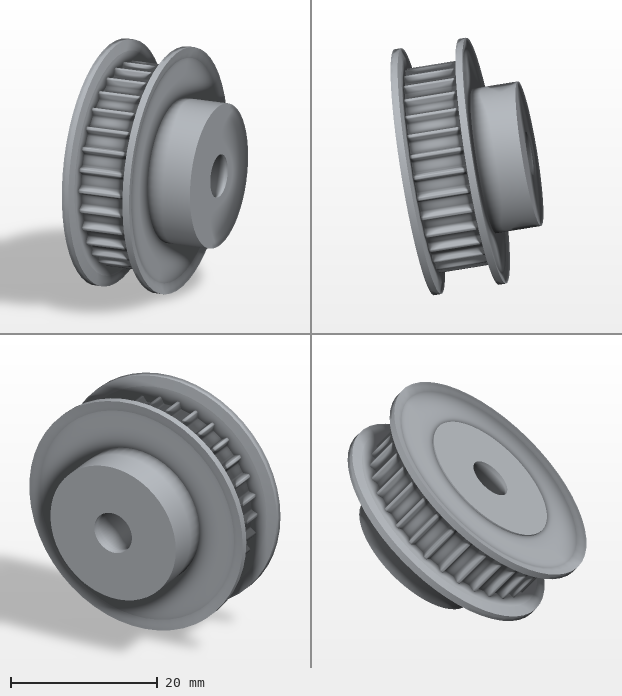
import cadquery as cq
import math


total_length = 16.0
flanged_length = 10.0
flange_thickness = 1.0
dish_depth = 0.262

flange_radius = 17
web_radius = 15.5
hub_radius = 10.0
bore_radius = 3.0

tooth_count = 30
tip_radius = 14.1
root_radius = 13.12
tip_half_width = 0.22
flank_angle = 20
tip_fillet = 0.2
root_fillet = 0.27

belt_start = dish_depth + flange_thickness
belt_length = flanged_length - 2 * belt_start
tooth_pitch = 360 / tooth_count


def cylinder(radius, start, end):
    return cq.Workplane("YZ", origin=(start, 0, 0)).circle(radius).extrude(end - start)


def flange(rim_x, inboard):
    """Dished disc whose rim starts at rim_x; inboard is +1 or -1, the way along X to the teeth."""
    web_x = rim_x + inboard * dish_depth
    outline = [
        (web_x, 0),
        (web_x, web_radius),
        (rim_x, flange_radius),
        (rim_x + inboard * flange_thickness, flange_radius),
        (web_x + inboard * flange_thickness, web_radius),
        (web_x + inboard * flange_thickness, 0),
    ]
    return cq.Workplane("XY").polyline(outline).close().revolve(360, (0, 0, 0), (1, 0, 0))


def polar(radius, angle):
    """Point in the YZ plane at an angle in degrees, measured from +Y towards +Z."""
    return (radius * math.cos(math.radians(angle)), radius * math.sin(math.radians(angle)))


def half_angle(radius, half_width):
    """Angle in degrees that a sideways distance takes up on a circle about the axis."""
    return math.degrees(math.asin(half_width / radius))


def axis_distance(edge):
    """Distance of an edge parallel to X from the axis."""
    return math.hypot(edge.Center().y, edge.Center().z)


def toothed_rim():
    """Trapezoidal teeth with rounded tips and roots; one tooth points along -Y."""
    root_half_width = tip_half_width + (tip_radius - root_radius) * math.tan(math.radians(flank_angle))
    tip_half_angle = half_angle(tip_radius, tip_half_width)
    root_half_angle = half_angle(root_radius, root_half_width)

    outline = cq.Workplane("YZ", origin=(belt_start, 0, 0)).moveTo(*polar(root_radius, -root_half_angle))
    for index in range(tooth_count):
        middle = index * tooth_pitch
        gap_middle = middle + tooth_pitch / 2
        next_tooth = middle + tooth_pitch
        outline = outline.lineTo(*polar(tip_radius, middle - tip_half_angle))
        outline = outline.threePointArc(
            polar(tip_radius, middle), polar(tip_radius, middle + tip_half_angle)
        )
        outline = outline.lineTo(*polar(root_radius, middle + root_half_angle))
        outline = outline.threePointArc(
            polar(root_radius, gap_middle), polar(root_radius, next_tooth - root_half_angle)
        )
    rim = outline.close().extrude(belt_length)

    middle_radius = (tip_radius + root_radius) / 2
    corners = rim.edges("|X").vals()
    root_corners = [edge for edge in corners if axis_distance(edge) < middle_radius]
    rim = rim.newObject(root_corners).fillet(root_fillet)

    corners = rim.edges("|X").vals()
    tip_corners = [edge for edge in corners if math.isclose(axis_distance(edge), tip_radius)]
    return rim.newObject(tip_corners).fillet(tip_fillet)


core = cylinder(hub_radius, 0, total_length)
bore = cylinder(bore_radius, 0, total_length)

result = (
    toothed_rim()
    .union(flange(0, 1))
    .union(flange(flanged_length, -1))
    .union(core)
    .cut(bore)
)